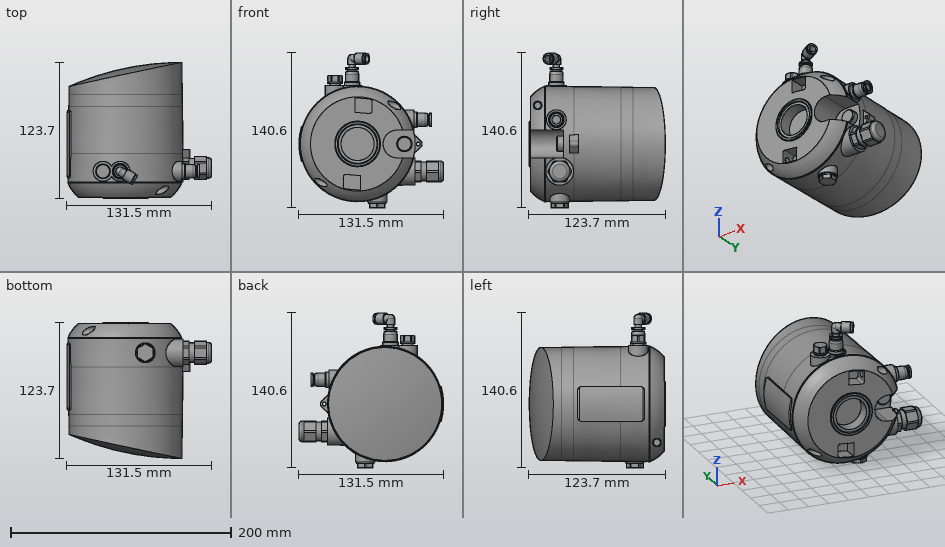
import cadquery as cq
import math


FRONT_FACE_RADIUS = 42.8
SHOULDER_MID = (48.4, 6.0)
MAX_RADIUS = 52.5
GROOVE_START = 13.0
GROOVE_WIDTH = 0.9
GROOVE_DEPTH = 0.5
SEAM_RADIUS = 52.2
SEAM_Y = 39.7
BAND_FRONT_RADIUS = 51.75
BAND_FRONT_Y = 82.5
BAND_REAR_RADIUS = 51.5
BAND_REAR_Y = 93.3
REAR_RADIUS = 51.3
REAR_Y = 122.7
DOME_RADIUS = 252.0

COLLAR_RADIUS = 20.75
COLLAR_HEIGHT = 1.0
COLLAR_CHAMFER = 0.7
RECESS_MOUTH_RADIUS = 18.3
RECESS_RADIUS = 17.6
BORE_RADIUS = 15.05
BORE_DEPTH = 12.5

WINDOW_LEFT = -2.5
WINDOW_RIGHT = 13.0
WINDOW_BOTTOM = 28.8
WINDOW_HEIGHT = 13.2
WINDOW_SLOPE = 1.4
WINDOW_CORNER_RADIUS = 2.2
WINDOW_DEPTH = 15.0
CROSS_HOLE_DIAMETER = 7.7
CROSS_HOLE_INNER_DIAMETER = 6.2
CROSS_HOLE_INNER_LENGTH = 4.0
CROSS_HOLE_Y = 6.7
CROSS_HOLE_Z = 35.0

NOTCH_RADIUS = 12.65
NOTCH_LEFT = 23.2
NOTCH_DEPTH = 30.0
PIN_X = 42.5
PIN_DIAMETER = 14.0
PIN_LENGTH = 6.0
PIN_CHAMFER = 0.9

EYE_X = 55.1
EYE_RADIUS = 3.6
EYE_HOLE_DIAMETER = 3.2
EYE_BASE_X = 50.0
EYE_BASE_HALF_HEIGHT = 9.8
EYE_START_Y = 35.7
EYE_LENGTH = 8.0

PLATE_RADIUS = 53.35
PLATE_EDGE_RADIUS = 52.6
PLATE_INNER_RADIUS = 50.0
PLATE_FRONT_Y = 17.8
PLATE_REAR_Y = 78.8
PLATE_FRONT_BEVEL = 1.5
PLATE_REAR_BEVEL = 1.9
PLATE_HALF_HEIGHT = 15.8
PLATE_CORNER_RADIUS = 4.0

BOSS_DIAMETER = 18.0
BOSS_ROOT = 20.0
AIR_Y = 23.7
DRAIN_Y = 26.7
SEAT_TOP_Z = 53.1
SCREW_X = -20.5
ELBOW_X = -5.0
SIDE_AIR_SEAT_X = 51.0
SIDE_AIR_Z = 22.0
GLAND_BOSS_DIAMETER = 25.2
GLAND_SEAT_X = 52.2
GLAND_Z = -24.9
PLUG_X = 17.9
PLUG_SEAT_Z = -52.9

HEXAGON_SIDES = 6

SCREW_NECK_DIAMETER = 9.9
SCREW_NECK_LENGTH = 1.8
SCREW_FLATS = 12.0
SCREW_CORNERS = 13.25
SCREW_HEAD_LENGTH = 7.3
SCREW_FLANGE_THICKNESS = 1.35
SCREW_TOP_CHAMFER = 0.6

WASHER_DIAMETER = 15.8
WASHER_THICKNESS = 1.3
PLUG_FLATS = 14.2
PLUG_CORNERS = 15.7
PLUG_HEAD_LENGTH = 3.8

FITTING_BASE_DIAMETER = 14.2
FITTING_BODY_DIAMETER = 12.4
FITTING_TIP_DIAMETER = 11.4
FITTING_TIP_END_DIAMETER = 9.7
FITTING_NECK_DIAMETER = 8.0
FITTING_FLANGE_DIAMETER = 12.0
FITTING_MOUTH_DIAMETER = 7.7
FITTING_MOUTH_DEPTH = 0.8
FITTING_BASE_TOP = 3.5
FITTING_BASE_BEVEL = 0.8
FITTING_BODY_TOP = 10.0
FITTING_TIP_TOP = 12.5
FITTING_TIP_END = 13.3
FITTING_FLANGE_BOTTOM = 14.5
FITTING_FLANGE_TOP = 16.2

STEM_DIAMETER = 6.0
STEM_TOP = 19.0
ELBOW_DIAMETER = 8.0
ELBOW_AXIS_HEIGHT = 24.3
ELBOW_SWING = -30.0
SLEEVE_DIAMETER = 10.4
SLEEVE_START = 4.9
SLEEVE_END = 13.4
SLEEVE_GROOVE_DIAMETER = 9.2
COLLET_DIAMETER = 9.7
COLLET_START = 14.0
COLLET_END = 15.7
TUBE_HOLE_DIAMETER = 6.2
TUBE_HOLE_DEPTH = 9.0
FLOW_HOLE_DIAMETER = 4.0

GLAND_FLATS = 19.1
GLAND_CORNERS = 21.1
GLAND_HEX_LENGTH = 5.4
GLAND_THREAD_DIAMETER = 17.4
GLAND_NUT_START = 10.3
GLAND_NUT_END = 21.2
GLAND_CAP_DIAMETER = 19.0
GLAND_END = 25.93
GLAND_CAP_FILLET = 3.0


def axis_plane(origin, direction, x_dir):
    """Plane whose normal is the axis of a turned feature."""
    return cq.Plane(origin=origin, xDir=x_dir, normal=direction)


def disc(plane, diameter, start, end):
    """Cylinder along the plane normal between two heights."""
    return cq.Workplane(plane).workplane(offset=start).circle(diameter / 2).extrude(end - start)


def clipped_hexagon(plane, flats, corners, start, end):
    """Hexagon prism whose corners are rounded off; two corners lie on the plane's x axis."""
    sharp_corners = flats / math.cos(math.pi / HEXAGON_SIDES)
    base = cq.Workplane(plane).workplane(offset=start)
    prism = base.polygon(HEXAGON_SIDES, sharp_corners).extrude(end - start)
    return prism.intersect(disc(plane, corners, start, end))


def front_plane(y):
    """Plane at the given y whose normal points rearward along +Y."""
    return axis_plane((0, y, 0), (0, 1, 0), (1, 0, 0))


def housing_shell():
    groove_radius = MAX_RADIUS - GROOVE_DEPTH
    groove_end = GROOVE_START + GROOVE_WIDTH
    turned = (
        cq.Workplane("XY")
        .moveTo(0, 0)
        .lineTo(FRONT_FACE_RADIUS, 0)
        .threePointArc(SHOULDER_MID, (MAX_RADIUS, GROOVE_START))
        .lineTo(groove_radius, GROOVE_START)
        .lineTo(groove_radius, groove_end)
        .lineTo(MAX_RADIUS, groove_end)
        .lineTo(SEAM_RADIUS, SEAM_Y)
        .lineTo(BAND_FRONT_RADIUS, BAND_FRONT_Y)
        .lineTo(BAND_REAR_RADIUS, BAND_REAR_Y)
        .lineTo(REAR_RADIUS, REAR_Y)
        .lineTo(0, REAR_Y)
        .close()
        .revolve(360, (0, 0, 0), (0, 1, 0))
    )
    dome = cq.Workplane("XY").sphere(DOME_RADIUS).translate((REAR_RADIUS, REAR_Y - DOME_RADIUS, 0))
    return turned.intersect(dome)


def collar():
    return (
        disc(front_plane(0), 2 * COLLAR_RADIUS, -COLLAR_HEIGHT, COLLAR_HEIGHT)
        .faces("<Y")
        .chamfer(COLLAR_CHAMFER)
    )


def collar_bore():
    return (
        cq.Workplane("XY")
        .moveTo(0, -COLLAR_HEIGHT)
        .lineTo(RECESS_MOUTH_RADIUS, -COLLAR_HEIGHT)
        .lineTo(RECESS_RADIUS, 0)
        .lineTo(BORE_RADIUS, 0)
        .lineTo(BORE_RADIUS, BORE_DEPTH)
        .lineTo(0, BORE_DEPTH)
        .close()
        .revolve(360, (0, 0, 0), (0, 1, 0))
    )


def window():
    """Upper window and the cross hole that opens it to the +X side."""
    opening = (
        cq.Workplane("XZ")
        .moveTo(WINDOW_LEFT, WINDOW_BOTTOM)
        .lineTo(WINDOW_RIGHT, WINDOW_BOTTOM - WINDOW_SLOPE)
        .lineTo(WINDOW_RIGHT, WINDOW_BOTTOM - WINDOW_SLOPE + WINDOW_HEIGHT)
        .lineTo(WINDOW_LEFT, WINDOW_BOTTOM + WINDOW_HEIGHT)
        .close()
        .extrude(-WINDOW_DEPTH)
        .edges("|Y and >X")
        .fillet(WINDOW_CORNER_RADIUS)
    )
    hole_plane = axis_plane((WINDOW_RIGHT, CROSS_HOLE_Y, CROSS_HOLE_Z), (1, 0, 0), (0, 1, 0))
    inner = disc(hole_plane, CROSS_HOLE_INNER_DIAMETER, 0, CROSS_HOLE_INNER_LENGTH)
    outer = disc(hole_plane, CROSS_HOLE_DIAMETER, CROSS_HOLE_INNER_LENGTH, MAX_RADIUS)
    return opening.union(inner).union(outer)


def notch():
    """Round-ended notch from the front face, open to the +X side, around a standing pin."""
    centre_x = NOTCH_LEFT + NOTCH_RADIUS
    length = 2 * MAX_RADIUS - centre_x
    end = disc(front_plane(0), 2 * NOTCH_RADIUS, 0, NOTCH_DEPTH).translate((centre_x, 0, 0))
    channel = cq.Workplane("XY").box(length, NOTCH_DEPTH, 2 * NOTCH_RADIUS, centered=(False, False, True))
    pin = disc(front_plane(NOTCH_DEPTH), PIN_DIAMETER, -PIN_LENGTH, 0).faces("<Y").chamfer(PIN_CHAMFER)
    return end.union(channel.translate((centre_x, 0, 0))).cut(pin.translate((PIN_X, 0, 0)))


def locking_eye():
    """Triangular lug with a rounded tip; its flanks are tangent to the tip."""
    reach = EYE_X - EYE_BASE_X
    distance = math.hypot(reach, EYE_BASE_HALF_HEIGHT)
    angle_to_base = math.atan2(EYE_BASE_HALF_HEIGHT, -reach)
    angle = angle_to_base - math.acos(EYE_RADIUS / distance)
    tangent_x = EYE_X + EYE_RADIUS * math.cos(angle)
    tangent_z = EYE_RADIUS * math.sin(angle)
    lug = (
        cq.Workplane("XZ", origin=(0, EYE_START_Y, 0))
        .moveTo(EYE_BASE_X, -EYE_BASE_HALF_HEIGHT)
        .lineTo(tangent_x, -tangent_z)
        .threePointArc((EYE_X + EYE_RADIUS, 0), (tangent_x, tangent_z))
        .lineTo(EYE_BASE_X, EYE_BASE_HALF_HEIGHT)
        .close()
        .extrude(-EYE_LENGTH)
    )
    plane = axis_plane((EYE_X, EYE_START_Y, 0), (0, 1, 0), (1, 0, 0))
    return lug.cut(disc(plane, EYE_HOLE_DIAMETER, 0, EYE_LENGTH))


def side_plate():
    """Raised plate on the -X side that follows the round of the housing."""
    ring = (
        cq.Workplane("XY")
        .moveTo(-PLATE_INNER_RADIUS, PLATE_FRONT_Y)
        .lineTo(-PLATE_EDGE_RADIUS, PLATE_FRONT_Y)
        .lineTo(-PLATE_RADIUS, PLATE_FRONT_Y + PLATE_FRONT_BEVEL)
        .lineTo(-PLATE_RADIUS, PLATE_REAR_Y - PLATE_REAR_BEVEL)
        .lineTo(-PLATE_EDGE_RADIUS, PLATE_REAR_Y)
        .lineTo(-PLATE_INNER_RADIUS, PLATE_REAR_Y)
        .close()
        .revolve(360, (0, 0, 0), (0, 1, 0))
    )
    length = PLATE_REAR_Y - PLATE_FRONT_Y
    outline = (
        cq.Workplane("XY")
        .box(2 * MAX_RADIUS, length, 2 * PLATE_HALF_HEIGHT, centered=(True, False, True))
        .edges("|X")
        .fillet(PLATE_CORNER_RADIUS)
        .translate((-MAX_RADIUS, PLATE_FRONT_Y, 0))
    )
    return ring.intersect(outline)


def air_fitting(plane):
    """Turned fitting: base, body, tapered tip, neck and release flange with a recessed mouth."""
    base_radius = FITTING_BASE_DIAMETER / 2
    body_radius = FITTING_BODY_DIAMETER / 2
    neck_radius = FITTING_NECK_DIAMETER / 2
    flange_radius = FITTING_FLANGE_DIAMETER / 2
    mouth_radius = FITTING_MOUTH_DIAMETER / 2
    mouth_bottom = FITTING_FLANGE_TOP - FITTING_MOUTH_DEPTH
    profile = (
        cq.Workplane("XZ")
        .moveTo(0, 0)
        .lineTo(base_radius, 0)
        .lineTo(base_radius, FITTING_BASE_TOP - FITTING_BASE_BEVEL)
        .lineTo(body_radius, FITTING_BASE_TOP)
        .lineTo(body_radius, FITTING_BODY_TOP)
        .lineTo(FITTING_TIP_DIAMETER / 2, FITTING_TIP_TOP)
        .lineTo(FITTING_TIP_END_DIAMETER / 2, FITTING_TIP_END)
        .lineTo(neck_radius, FITTING_TIP_END)
        .lineTo(neck_radius, FITTING_FLANGE_BOTTOM)
        .lineTo(flange_radius, FITTING_FLANGE_BOTTOM)
        .lineTo(flange_radius, FITTING_FLANGE_TOP)
        .lineTo(mouth_radius, FITTING_FLANGE_TOP)
        .lineTo(mouth_radius, mouth_bottom)
        .lineTo(0, mouth_bottom)
        .close()
    )
    turned = profile.revolve(360, (0, 0, 0), (0, 1, 0))
    return cq.Workplane(turned.val().moved(cq.Location(plane)))


def elbow(plane):
    """Elbow that turns from the vertical stem to a level sleeve swung toward the front."""
    swing = math.radians(ELBOW_SWING)
    corner = (plane.origin + plane.zDir * ELBOW_AXIS_HEIGHT).toTuple()
    arm = axis_plane(corner, (math.cos(swing), math.sin(swing), 0), (0, 0, 1))
    stem = disc(plane, STEM_DIAMETER, FITTING_FLANGE_BOTTOM, STEM_TOP)
    upright = disc(plane, ELBOW_DIAMETER, STEM_TOP, ELBOW_AXIS_HEIGHT)
    knuckle = cq.Workplane(plane).sphere(ELBOW_DIAMETER / 2).translate((0, 0, ELBOW_AXIS_HEIGHT))
    shape = stem.union(upright).union(knuckle)
    for diameter, start, end in (
        (ELBOW_DIAMETER, 0, SLEEVE_START),
        (SLEEVE_DIAMETER, SLEEVE_START, SLEEVE_END),
        (SLEEVE_GROOVE_DIAMETER, SLEEVE_END, COLLET_START),
        (COLLET_DIAMETER, COLLET_START, COLLET_END),
    ):
        shape = shape.union(disc(arm, diameter, start, end))
    tube_hole = disc(arm, TUBE_HOLE_DIAMETER, COLLET_END - TUBE_HOLE_DEPTH, COLLET_END)
    flow_hole = disc(arm, FLOW_HOLE_DIAMETER, 0, COLLET_END)
    return shape.cut(tube_hole).cut(flow_hole)


def hexagon_screw(plane):
    """Screw with a round flange under its hexagon and a chamfered top."""
    flange_top = SCREW_NECK_LENGTH + SCREW_FLANGE_THICKNESS
    head_top = SCREW_NECK_LENGTH + SCREW_HEAD_LENGTH
    neck = disc(plane, SCREW_NECK_DIAMETER, 0, SCREW_NECK_LENGTH)
    flange = disc(plane, SCREW_CORNERS, SCREW_NECK_LENGTH, flange_top)
    hexagon = clipped_hexagon(plane, SCREW_FLATS, SCREW_CORNERS, flange_top, head_top)
    rounding = disc(plane, SCREW_CORNERS, flange_top, head_top).faces(">Z").chamfer(SCREW_TOP_CHAMFER)
    return neck.union(flange).union(hexagon.intersect(rounding))


def drain_plug(plane):
    washer = disc(plane, WASHER_DIAMETER, 0, WASHER_THICKNESS)
    head_end = WASHER_THICKNESS + PLUG_HEAD_LENGTH
    return washer.union(clipped_hexagon(plane, PLUG_FLATS, PLUG_CORNERS, WASHER_THICKNESS, head_end))


def cable_gland(plane):
    base_hexagon = clipped_hexagon(plane, GLAND_FLATS, GLAND_CORNERS, 0, GLAND_HEX_LENGTH)
    thread = disc(plane, GLAND_THREAD_DIAMETER, GLAND_HEX_LENGTH, GLAND_NUT_START)
    nut = clipped_hexagon(plane, GLAND_FLATS, GLAND_CORNERS, GLAND_NUT_START, GLAND_NUT_END)
    cap = disc(plane, GLAND_CAP_DIAMETER, GLAND_NUT_END, GLAND_END)
    cap = cap.faces(">X").edges().fillet(GLAND_CAP_FILLET)
    return base_hexagon.union(thread).union(nut).union(cap)


def boss(plane, diameter):
    return disc(plane, diameter, -BOSS_ROOT, 0)


screw_plane = axis_plane((SCREW_X, AIR_Y, SEAT_TOP_Z), (0, 0, 1), (1, 0, 0))
elbow_plane = axis_plane((ELBOW_X, AIR_Y, SEAT_TOP_Z), (0, 0, 1), (1, 0, 0))
side_air_plane = axis_plane((SIDE_AIR_SEAT_X, AIR_Y, SIDE_AIR_Z), (1, 0, 0), (0, 1, 0))
gland_plane = axis_plane((GLAND_SEAT_X, DRAIN_Y, GLAND_Z), (1, 0, 0), (0, 1, 0))
plug_plane = axis_plane((PLUG_X, DRAIN_Y, PLUG_SEAT_Z), (0, 0, -1), (0, 1, 0))

result = housing_shell().union(collar()).union(side_plate())
for seat in (screw_plane, elbow_plane, side_air_plane, plug_plane):
    result = result.union(boss(seat, BOSS_DIAMETER))
result = result.union(boss(gland_plane, GLAND_BOSS_DIAMETER))

upper_window = window()
lower_window = upper_window.rotate((0, 0, 0), (0, 1, 0), 180)
for cutter in (collar_bore(), upper_window, lower_window, notch()):
    result = result.cut(cutter)

for attachment in (
    locking_eye(),
    hexagon_screw(screw_plane),
    air_fitting(elbow_plane),
    elbow(elbow_plane),
    air_fitting(side_air_plane),
    cable_gland(gland_plane),
    drain_plug(plug_plane),
):
    result = result.union(attachment)